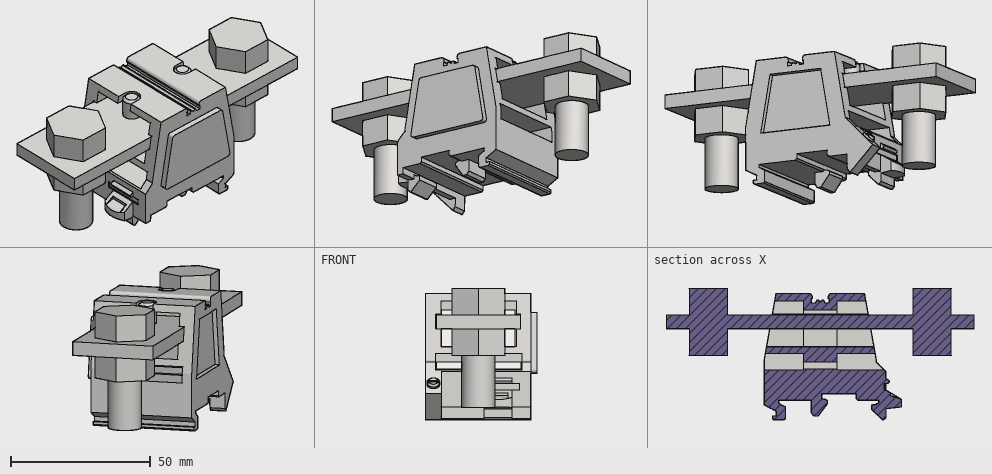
import cadquery as cq
import math


body_width = 37.7
mid_x = body_width / 2
body_top = 45.25
top_half = 15.85
shoulder_half = 20.1
shoulder_z = 21.4
flank_slope = (shoulder_half - top_half) / (body_top - shoulder_z)
rail_face_z = 7.0
rail_recess_z = 9.3

arm_width = 5.7
arm_top_z = 20.7
arm_tip_y = -31.4
arm_tip_z = arm_top_z + arm_tip_y + shoulder_half
arm_toe_y = -22.2
arm_toe_z = arm_tip_z + arm_tip_y - arm_toe_y
foot_wall_y = -20.9
foot_front_y = -23.45
foot_low_z = 4.65
foot_wall_step = 0.2
foot_wall_step_z = 1.4

rear_foot_inner_y = 12.4
rear_foot_outer_y = 15.75
rear_foot_toe_y = 17.15
rear_foot_toe_height = 1.45
rear_foot_chamfer = 0.5
rear_foot_rail_gap_y = 14.8

rail_recess_start_y = -0.6
rail_recess_end_y = -12.85
rail_recess_chamfer = 0.6

groove_floor_z = 41.9
groove_half = 3.2
lip_half = 2.85
lip_low_z = 43.4
lip_radius = 1.25
rib_height = 1.05
rib_valley_height = 0.4
rib_outer_y = 1.7
rib_crest_outer_y = 1.2
rib_crest_inner_y = 0.8

web_half = 6.0
opening_mid_x = 19.05
window_width = 27.0
window_low_z = 26.2
window_high_z = 42.5
web_window_width = 26.3
web_window_high_z = 39.3
slot_width = 31.0
slot_low_z = 17.9
slot_high_z = 23.75
web_slot_width = 30.2
web_slot_low_z = 18.3
web_slot_high_z = 20.7

bar_mid_x = 18.95
bar_length = 110.0
bar_width = 30.0
bar_thickness = 5.0
bar_low_z = 32.6
bar_high_z = bar_low_z + bar_thickness
bar_slot_clearance = 0.3
bar_slot_width = bar_width + bar_slot_clearance
bolt_y = 40.0
bolt_across_flats = 19.0
bolt_top_z = 47.05
nut_low_z = 23.0
bolt_radius = 6.0
bolt_end_z = 4.45

clamp_y = 12.5
clamp_radius = 3.2
clamp_chamfer = 1.0

pocket_top_z = 39.6
pocket_low_z = 18.45
pocket_top_half = 10.25
pocket_depth = 1.5
pocket_draft = 10.0
overall_width = 39.95
cover_top_z = 38.5
cover_low_z = 16.65
cover_top_half = 12.2
cover_corner_radius = 1.2

arm_screw_y = -28.0
arm_screw_radius = 2.3
arm_screw_height = 1.55
arm_screw_chamfer = 0.7
screw_slot_width = 0.8
screw_slot_depth = 0.6

latch_mid_x = 26.0
latch_width = 10.1
latch_start_x = latch_mid_x - latch_width / 2
latch_end_x = latch_mid_x + latch_width / 2
latch_tip_y = -29.15
latch_nose_sagitta = 1.45
latch_nose_z = 7.3
latch_top_z = 10.75
latch_slot_width = 15.4
latch_slot_height = 2.25
latch_slot_depth = 0.5
latch_ridge_top_z = 14.95
latch_ridge_height = 1.9
latch_ridge_depth = 1.3
latch_step_width = 7.0
latch_step_high_z = 9.7
latch_step_low_z = 7.7
hook_front_y = -23.6
hook_top_z = 4.0
hook_chamfer = 0.9
hook_tip_y = -18.4
catch_back_y = 3.25
catch_tip_y = -2.6
catch_low_z = 1.4


def extrude_x(points, x_start, x_end):
    """Closed Y-Z outline made into a prism between two X positions."""
    return cq.Workplane("YZ").workplane(offset=x_start).polyline(points).close().extrude(x_end - x_start)


def block(x_mid, width, y_start, y_end, z_low, z_high):
    """Box centred on x_mid, given by its Y and Z limits."""
    return cq.Workplane("XY").box(width, y_end - y_start, z_high - z_low).translate(
        (x_mid, (y_start + y_end) / 2, (z_low + z_high) / 2)
    )


def trapezoid(top_half_width, z_low, z_high):
    """Outline whose sides lean like the housing flanks."""
    low_half = top_half_width + flank_slope * (z_high - z_low)
    return [(-low_half, z_low), (low_half, z_low), (top_half_width, z_high), (-top_half_width, z_high)]


def make_housing():
    """Housing with its feet; beside the arm it stops short at the front of the foot."""
    outline = [
        (top_half, body_top),
        (shoulder_half, shoulder_z),
        (shoulder_half, 5.4),
        (rear_foot_outer_y, 3.1),
        (rear_foot_outer_y, rear_foot_toe_height),
        (rear_foot_toe_y, rear_foot_toe_height),
        (rear_foot_toe_y, rear_foot_chamfer),
        (rear_foot_toe_y - rear_foot_chamfer, 0),
        (rear_foot_inner_y + rear_foot_chamfer, 0),
        (rear_foot_inner_y, rear_foot_chamfer),
        (rear_foot_inner_y, 4.6),
        (rear_foot_rail_gap_y, 6.0),
        (rear_foot_rail_gap_y, rail_face_z),
        (rail_recess_start_y + rail_recess_chamfer, rail_face_z),
        (rail_recess_start_y, rail_face_z + rail_recess_chamfer),
        (rail_recess_start_y, rail_recess_z),
        (rail_recess_end_y, rail_recess_z),
        (rail_recess_end_y, rail_face_z + rail_recess_chamfer),
        (rail_recess_end_y - rail_recess_chamfer, rail_face_z),
        (foot_wall_y, rail_face_z),
        (foot_wall_y - foot_wall_step, foot_wall_step_z),
        (arm_toe_y, arm_toe_z),
        (arm_tip_y, arm_tip_z),
        (-shoulder_half, arm_top_z),
        (-shoulder_half, shoulder_z),
        (-top_half, body_top),
    ]
    housing = extrude_x(outline, 0, body_width)
    beside_arm_x = (arm_width + body_width) / 2
    beside_arm_width = body_width - arm_width
    in_front_of_foot = block(beside_arm_x, beside_arm_width, arm_tip_y, foot_front_y, 0, arm_top_z)
    below_foot = block(beside_arm_x, beside_arm_width, arm_tip_y, -shoulder_half, 0, foot_low_z)
    return housing.cut(in_front_of_foot).cut(below_foot)


def make_rail_catch():
    """Hooked catch hanging below the middle of the housing."""
    outline = [
        (catch_back_y, rail_recess_z),
        (catch_back_y, 2.6),
        (2.3, catch_low_z),
        (0.7, catch_low_z),
        (0, 2.4),
        (catch_tip_y, 5.8),
        (catch_tip_y, 6.9),
        (-1.8, 7.4),
        (rail_recess_start_y, rail_face_z + rail_recess_chamfer),
        (rail_recess_start_y, rail_recess_z),
    ]
    return extrude_x(outline, latch_start_x, latch_end_x)


def make_label_groove():
    """Groove with a ribbed floor under two overhanging lips, rounded where they meet the top."""
    mouth_half = lip_half + lip_radius
    lip_high_z = body_top - lip_radius
    arc_inset = lip_radius * (1 - math.sin(math.pi / 4))
    groove = (
        cq.Workplane("YZ")
        .moveTo(-groove_half, groove_floor_z)
        .lineTo(groove_half, groove_floor_z)
        .lineTo(groove_half, lip_low_z)
        .lineTo(lip_half, lip_low_z)
        .lineTo(lip_half, lip_high_z)
        .threePointArc((lip_half + arc_inset, body_top - arc_inset), (mouth_half, body_top))
        .lineTo(-mouth_half, body_top)
        .threePointArc((-lip_half - arc_inset, body_top - arc_inset), (-lip_half, lip_high_z))
        .lineTo(-lip_half, lip_low_z)
        .lineTo(-groove_half, lip_low_z)
        .close()
        .extrude(body_width)
    )
    rib_top_z = groove_floor_z + rib_height
    right_side = [
        (rib_outer_y, groove_floor_z),
        (rib_crest_outer_y, rib_top_z),
        (rib_crest_inner_y, rib_top_z),
    ]
    left_side = [(-y, z) for y, z in reversed(right_side)]
    ribs = extrude_x(right_side + [(0, groove_floor_z + rib_valley_height)] + left_side, 0, body_width)
    return groove.cut(ribs)


def make_openings():
    """Window and slot through the housing, both narrower and lower in the central web."""
    reach = -arm_tip_y
    openings = block(mid_x, web_window_width, -web_half, web_half, window_low_z, web_window_high_z)
    openings = openings.union(
        block(opening_mid_x, web_slot_width, -web_half, web_half, web_slot_low_z, web_slot_high_z)
    )
    for y_start, y_end in ((-reach, -web_half), (web_half, reach)):
        window = block(opening_mid_x, window_width, y_start, y_end, window_low_z, window_high_z)
        slot = block(opening_mid_x, slot_width, y_start, y_end, slot_low_z, slot_high_z)
        openings = openings.union(window).union(slot)
    bar_slot = block(mid_x, bar_slot_width, -reach, reach, bar_low_z, bar_high_z + bar_slot_clearance)
    return openings.union(bar_slot)


def make_clamp_notch(side):
    """Round-ended notch through the roof, from the clamping screw out past the flank."""
    y_start, y_end = sorted((side * clamp_y, side * shoulder_half))
    notch = block(mid_x, 2 * clamp_radius, y_start, y_end, bar_high_z, body_top)
    round_end = cq.Workplane("XY").circle(clamp_radius).extrude(body_top - bar_high_z)
    return notch.union(round_end.translate((mid_x, side * clamp_y, bar_high_z)))


def make_clamp_screw(side):
    screw = cq.Workplane("XY").circle(clamp_radius).extrude(body_top - bar_low_z)
    screw = screw.faces(">Z").chamfer(clamp_chamfer)
    return screw.translate((mid_x, side * clamp_y, bar_low_z))


def make_bolt(side):
    """Bolt with its head and nut as one hexagon through the bar, corners towards +Y and -Y."""
    corner_diameter = bolt_across_flats / math.cos(math.pi / 6)
    hexagon = cq.Workplane("XY").polygon(6, corner_diameter).extrude(bolt_top_z - nut_low_z)
    hexagon = hexagon.rotate((0, 0, 0), (0, 0, 1), 90).translate((0, 0, nut_low_z))
    shank = cq.Workplane("XY").circle(bolt_radius).extrude(nut_low_z - bolt_end_z)
    shank = shank.translate((0, 0, bolt_end_z))
    return hexagon.union(shank).translate((bar_mid_x, side * bolt_y, 0))


def make_cover():
    outline = trapezoid(cover_top_half, cover_low_z, cover_top_z)
    cover = extrude_x(outline, body_width, overall_width)
    return cover.edges("|X").fillet(cover_corner_radius)


def make_arm_screw():
    """Slotted head standing square on the 45 degree face of the arm."""
    head = cq.Workplane("XY").circle(arm_screw_radius).extrude(arm_screw_height)
    head = head.faces(">Z").chamfer(arm_screw_chamfer)
    slot_mid_z = arm_screw_height - screw_slot_depth / 2
    slot = cq.Workplane("XY").box(2 * arm_screw_radius, screw_slot_width, screw_slot_depth)
    head = head.cut(slot.translate((0, 0, slot_mid_z)))
    seat_z = arm_top_z + arm_screw_y + shoulder_half
    return head.rotate((0, 0, 0), (1, 0, 0), 45).translate((arm_width / 2, arm_screw_y, seat_z))


def lever_slope_y(z):
    """Y of the lever's sloping top face at height z."""
    return foot_front_y + (latch_tip_y - foot_front_y) * (latch_top_z - z) / (latch_top_z - latch_nose_z)


def make_latch_lever():
    """Lever with a nose rounded in plan, a sloping top and a step for a screwdriver."""
    root_y = foot_front_y + latch_slot_depth
    nose_start_y = latch_tip_y + latch_nose_sagitta
    plan = (
        cq.Workplane("XY")
        .moveTo(latch_start_x, root_y)
        .lineTo(latch_start_x, nose_start_y)
        .threePointArc((latch_mid_x, latch_tip_y), (latch_end_x, nose_start_y))
        .lineTo(latch_end_x, root_y)
        .close()
        .extrude(latch_top_z)
    )
    side_outline = [
        (root_y, hook_top_z),
        (hook_front_y, hook_top_z),
        (latch_tip_y, foot_low_z),
        (latch_tip_y, latch_nose_z),
        (foot_front_y, latch_top_z),
        (root_y, latch_top_z),
    ]
    lever = extrude_x(side_outline, latch_start_x, latch_end_x).intersect(plan)
    step_back_y = lever_slope_y(latch_step_high_z)
    step_outline = [
        (step_back_y, latch_step_high_z),
        (step_back_y, (latch_step_high_z + latch_step_low_z) / 2),
        (lever_slope_y(latch_step_low_z), latch_step_low_z),
    ]
    step_start_x = latch_mid_x - latch_step_width / 2
    return lever.cut(extrude_x(step_outline, step_start_x, step_start_x + latch_step_width))


def make_latch_hook():
    """Hook of the latch that grips the rail."""
    outline = [
        (hook_front_y, foot_low_z),
        (hook_front_y, hook_chamfer),
        (hook_front_y + hook_chamfer, 0),
        (-22.3, 0),
        (hook_tip_y, 3.7),
        (hook_tip_y, 5.4),
        (-19.6, 5.5),
        (foot_wall_y, 6.2),
    ]
    return extrude_x(outline, latch_start_x, latch_end_x)


def make_latch_ridge():
    """Ridge over the latch slot, with a sloping top and a rounded underside."""
    low_z = latch_top_z + latch_slot_height
    edge_z = (low_z + latch_ridge_top_z) / 2
    edge_y = foot_front_y - latch_ridge_depth
    return (
        cq.Workplane("YZ")
        .workplane(offset=latch_start_x)
        .moveTo(foot_front_y, latch_ridge_top_z)
        .lineTo(edge_y, edge_z)
        .radiusArc((edge_y + latch_ridge_depth / 2, low_z), -latch_ridge_height / 2)
        .lineTo(foot_front_y, low_z)
        .close()
        .extrude(latch_width)
    )


def make_latch_slot():
    return block(
        latch_mid_x,
        latch_slot_width,
        foot_front_y,
        foot_front_y + latch_slot_depth,
        latch_top_z,
        latch_top_z + latch_slot_height,
    )


def make_pocket():
    """Pocket in the -X face, its walls closing in towards the floor."""
    outline = trapezoid(pocket_top_half, pocket_low_z, pocket_top_z)
    return cq.Workplane("YZ").polyline(outline).close().extrude(pocket_depth, taper=pocket_draft)


housing = make_housing().cut(make_label_groove()).cut(make_openings())
housing = housing.cut(make_pocket()).cut(make_latch_slot())
for side in (-1, 1):
    housing = housing.cut(make_clamp_notch(side))
for latch_part in (make_latch_lever(), make_latch_hook(), make_latch_ridge(), make_rail_catch()):
    housing = housing.union(latch_part)
housing = housing.union(make_arm_screw()).union(make_cover())

result = housing.union(block(bar_mid_x, bar_width, -bar_length / 2, bar_length / 2, bar_low_z, bar_high_z))
for side in (-1, 1):
    result = result.union(make_clamp_screw(side)).union(make_bolt(side))